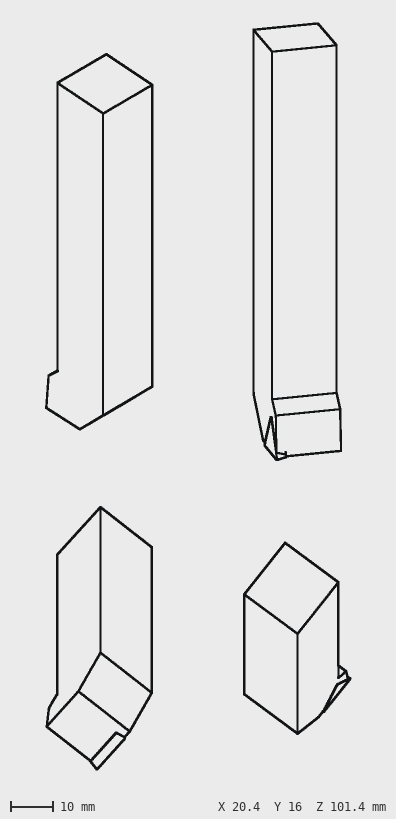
import cadquery as cq
import math

SHANK_WIDTH = 15.9
TOTAL_DEPTH = 16.0
INSERT_PROUD = 0.1
TOTAL_LENGTH = 101.4
RIGHT_X = 20.4
SHANK_LEFT_X = RIGHT_X - SHANK_WIDTH
NECK_Z = 13.9
SHOULDER_X = 1.4
SHOULDER_Z = 10.8
HEAD_LEFT_X = 0.6
HEAD_LEFT_Z = 0.6
HEAD_RIGHT_X = 12.3
HEAD_RIGHT_Z = 0.9
CHAMFER_TOP_Z = 9.9

INSERT_INSCRIBED_DIAMETER = 6.4
INSERT_INSCRIBED_RADIUS = INSERT_INSCRIBED_DIAMETER / 2
INSERT_THICKNESS = 2.4
NOSE_RADIUS = 0.4
CLEARANCE_ANGLE = 7.0
CORNER_COUNT = 3
CORNER_STEP = 360 / CORNER_COUNT
INSERT_TILT = 1.0
NOSE_DIRECTION = 210.0

HOLDER_FACE_Y = TOTAL_DEPTH - INSERT_PROUD


def make_insert():
    """Triangular insert with its lower left nose touching X = 0 and Z = 0."""
    nose_distance = 2 * (INSERT_INSCRIBED_RADIUS - NOSE_RADIUS)
    nose_angle = math.radians(NOSE_DIRECTION + INSERT_TILT)
    center_x = NOSE_RADIUS - nose_distance * math.cos(nose_angle)
    center_z = NOSE_RADIUS - nose_distance * math.sin(nose_angle)
    corners = []
    for corner in range(CORNER_COUNT):
        angle = nose_angle + math.radians(CORNER_STEP * corner)
        reach = 2 * INSERT_INSCRIBED_RADIUS
        corners.append((center_x + reach * math.cos(angle), center_z + reach * math.sin(angle)))
    return (
        cq.Workplane("XZ", origin=(0, TOTAL_DEPTH, 0))
        .polyline(corners)
        .close()
        .extrude(INSERT_THICKNESS, taper=CLEARANCE_ANGLE)
        .edges("not(#Y)")
        .fillet(NOSE_RADIUS)
    )


def make_holder(insert):
    """Cranked square bar with a pocket that fits the insert."""
    outline = [
        (SHANK_LEFT_X, TOTAL_LENGTH),
        (RIGHT_X, TOTAL_LENGTH),
        (RIGHT_X, CHAMFER_TOP_Z),
        (HEAD_RIGHT_X, HEAD_RIGHT_Z),
        (HEAD_LEFT_X, HEAD_LEFT_Z),
        (SHOULDER_X, SHOULDER_Z),
        (SHANK_LEFT_X, NECK_Z),
    ]
    bar = cq.Workplane("XZ").polyline(outline).close().extrude(-HOLDER_FACE_Y)
    return bar.cut(insert)


insert = make_insert()
holder = make_holder(insert)

result = cq.Compound.makeCompound([holder.val(), insert.val()])